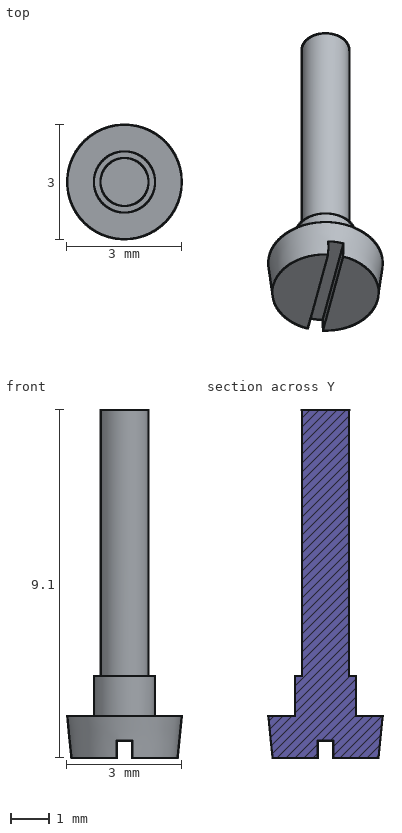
import cadquery as cq

total_length = 9.1

head_top_diameter = 3.0
head_bottom_diameter = 2.785
head_height = 1.1

collar_diameter = 1.6
collar_height = 1.05

shank_diameter = 1.26

slot_width = 0.4
slot_depth = 0.45

collar_top = head_height + collar_height


def turned_body():
    """Revolve the stepped half profile about the Z axis."""
    return (
        cq.Workplane("XZ")
        .moveTo(0, 0)
        .lineTo(head_bottom_diameter / 2, 0)
        .lineTo(head_top_diameter / 2, head_height)
        .lineTo(collar_diameter / 2, head_height)
        .lineTo(collar_diameter / 2, collar_top)
        .lineTo(shank_diameter / 2, collar_top)
        .lineTo(shank_diameter / 2, total_length)
        .lineTo(0, total_length)
        .close()
        .revolve(360, (0, 0, 0), (0, 1, 0))
    )


def driver_slot():
    """Cutter that runs through the full width of the head."""
    return cq.Workplane("XY").rect(slot_width, head_top_diameter).extrude(slot_depth)


result = turned_body().cut(driver_slot())